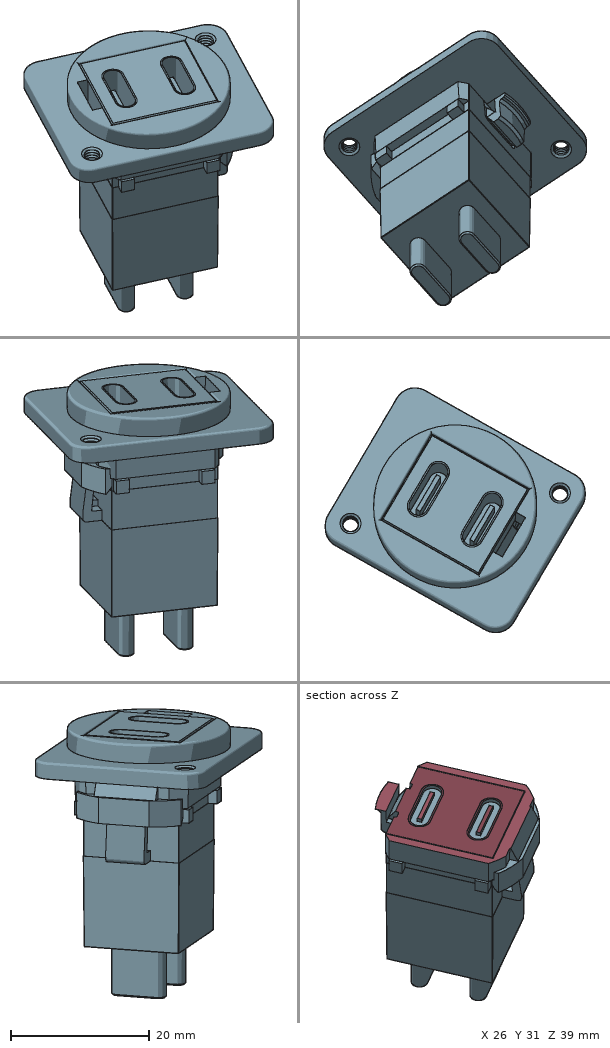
import cadquery as cq
import math


FLANGE_X = 26.0
FLANGE_Y = 31.0
FLANGE_T = 2.4
CORNER_R = 3.0
DISC_R = 11.8
TOP_Z = 5.2
EDGE_BREAK = 0.4

SCREW_X = 9.5
SCREW_Y = 12.0
THREAD_MAJOR_D = 3.0
THREAD_MINOR_D = 2.25
THREAD_TURNS = 5

HEAD_X = 14.65
HEAD_Y = 16.3
HEAD_BOTTOM_Z = -6.82
SIDE_EDGE = 0.08
HEAD_TOP_EDGE = 0.2
FIT = 0.05
OPENING_HALF_X = HEAD_X / 2 + FIT
OPENING_HALF_Y = HEAD_Y / 2 + FIT
OPENING_EDGE_R = 0.25

SKIRT_DEPTH = 4.6
SKIRT_HALF_X = 8.7
SKIRT_BACK_Y = 9.9
SKIRT_R = 11.78
SKIRT_DRAFT = 1.5
SKIRT_CORNER_X = 1.2
SKIRT_CORNER_Y = 1.0

HOOK_INNER_Y = -9.55
HOOK_BOTTOM_Z = -5.42
HOOK_ROOT_HALF_X = 3.1
HOOK_TIP_HALF_X = 2.73
HOOK_R = 10.75
HOOK_SHOULDER_Z = -0.95
HOOK_SHOULDER_EDGE = 0.25
HOOK_EDGE = 0.43
BARB_TOP_Z = -3.15
BARB_TIP_Y = -8.0
BARB_TOE_Y = -9.13
SLOT_HALF_X = 3.35
SLOT_DRAFT = 0.25

CATCH_HALF_X = 7.95
CATCH_R = 12.2
CATCH_TOP_Z = -3.1
CATCH_BOTTOM_Z = -6.95
CATCH_INNER_Y = 8.25
CATCH_OUTER_Y = 11.6
CATCH_BEVEL_Y = 0.9
CATCH_BEVEL_Z = 1.0
WEB_HALF_X = 4.68
WEB_TOP_Z = -0.6
WEB_OUTER_Y = 11.1

STEP = 0.05
TAIL_X = HEAD_X - 2 * STEP
TAIL_Y = HEAD_Y - 2 * STEP
TAIL_BOTTOM_Z = -12.8
LUG = 2.0
LUG_OUTER_X = SKIRT_HALF_X
LUG_CENTRES_Y = (6.85, -6.2)
ARM_WIDTH = 5.85
ARM_FOOT_T = 1.55
ARM_FOOT_OUTER_Y = 11.05
ARM_FOOT_INNER_Y = 9.7
ARM_TOP_OUTER_Y = 10.5
ARM_TOP_INNER_Y = 9.3
ARM_FOOT_R = 0.6
ARM_INNER_R = 0.25
GUSSET_WIDTH = 1.95
GUSSET_H = 0.95

RECESS_DEPTH = 0.4
RECESS_BOTTOM_Z = -4.1
RECESS_TOP_HALF_X = 3.8
RECESS_BOTTOM_HALF_X = 3.45
RECESS_CORNER_R = 0.6
RECESS_DRAFT = 20
WEDGE_TIP_Y = -9.48
WEDGE_TIP_Z = -2.73
WEDGE_BOTTOM_Z = -3.12
WEDGE_CHAMFER = 0.3
WEDGE_ROOT_HALF_X = 2.65
WEDGE_TIP_HALF_X = 2.3

PORT_Y = 4.5
PORT_STRAIGHT = 5.8
SOCKET_WIDTH = 2.73
SHELL_T = 0.25
SOCKET_DEPTH = 6.63
TONGUE_X = 5.93
TONGUE_T = 0.65
TONGUE_H = 3.9
PLUG_WIDTH = 2.45
PLUG_CHAMFER = 0.25

COVER_TOP_X = HEAD_X
COVER_TOP_Y = HEAD_Y
COVER_BOTTOM_X = 14.43
COVER_BOTTOM_Y = 16.15
COVER_BOTTOM_Z = -26.3
OVERALL_Z = 39
PLUG_TIP_Z = TOP_Z - OVERALL_Z


def block(x0, x1, y0, y1, z0, z1):
    """Box between two opposite corners."""
    return cq.Workplane("XY").box(x1 - x0, y1 - y0, z1 - z0, centered=False).translate((x0, y0, z0))


def side_profile(points, width):
    """Outline of (Y, Z) points extruded to a width centred on X = 0."""
    return cq.Workplane("YZ").polyline(points).close().extrude(width / 2, both=True)


def turned(points):
    """Outline of (radius, Z) points turned about the Z axis."""
    return cq.Workplane("XZ").polyline(points).close().revolve(360, (0, 0), (0, 1))


def port(y, z, width):
    """Port outline at one height, long along X and rounded at the ends."""
    return cq.Workplane("XY", origin=(0, y, z)).slot2D(PORT_STRAIGHT + width, width)


def thread_cutter():
    """Tapped hole as a stack of V-grooves, widest at the flange's top face."""
    half_pitch = FLANGE_T / THREAD_TURNS / 2
    points = [(0, FLANGE_T)]
    for i in range(2 * THREAD_TURNS + 1):
        diameter = THREAD_MINOR_D if i % 2 else THREAD_MAJOR_D
        points.append((diameter / 2, FLANGE_T - i * half_pitch))
    points.append((0, 0))
    return turned(points)


def make_flange():
    flange = (
        cq.Workplane("XY")
        .rect(FLANGE_X, FLANGE_Y)
        .extrude(FLANGE_T)
        .edges("|Z")
        .fillet(CORNER_R)
        .faces(">Z")
        .edges()
        .fillet(EDGE_BREAK)
    )
    for side in (-1, 1):
        flange = flange.cut(thread_cutter().translate((side * SCREW_X, -side * SCREW_Y, 0)))
    disc = cq.Workplane("XY").circle(DISC_R).extrude(TOP_Z).faces(">Z").edges().fillet(EDGE_BREAK)
    return flange.union(disc)


def make_skirt():
    """Drafted side and back walls, rounded at the back and cut off at the front corners."""
    front_y = -OPENING_HALF_Y
    shoulder_y = front_y + SKIRT_CORNER_Y
    corner_x = SKIRT_HALF_X - SKIRT_CORNER_X
    plan = (
        cq.Workplane("XY")
        .polyline(
            [
                (-SKIRT_HALF_X, SKIRT_BACK_Y),
                (-SKIRT_HALF_X, shoulder_y),
                (-corner_x, front_y),
                (corner_x, front_y),
                (SKIRT_HALF_X, shoulder_y),
                (SKIRT_HALF_X, SKIRT_BACK_Y),
            ]
        )
        .close()
        .extrude(-SKIRT_DEPTH)
    )
    walls = (
        cq.Workplane("XY")
        .rect(2 * SKIRT_HALF_X, 2 * SKIRT_BACK_Y)
        .extrude(-SKIRT_DEPTH, taper=SKIRT_DRAFT)
    )
    cone = cq.Workplane("XY").circle(SKIRT_R).extrude(-SKIRT_DEPTH, taper=SKIRT_DRAFT)
    return plan.intersect(walls).intersect(cone)


def make_catch():
    """Block behind the insert with a round back, and the sloped web above it."""
    catch = side_profile(
        [
            (CATCH_INNER_Y, CATCH_TOP_Z),
            (CATCH_OUTER_Y, CATCH_TOP_Z),
            (CATCH_OUTER_Y, CATCH_BOTTOM_Z),
            (CATCH_INNER_Y + CATCH_BEVEL_Y, CATCH_BOTTOM_Z),
            (CATCH_INNER_Y, CATCH_BOTTOM_Z + CATCH_BEVEL_Z),
        ],
        2 * CATCH_HALF_X,
    )
    round_back = cq.Workplane("XY", origin=(0, 0, CATCH_BOTTOM_Z)).circle(CATCH_R).extrude(-CATCH_BOTTOM_Z)
    web = side_profile(
        [
            (CATCH_INNER_Y, WEB_TOP_Z),
            (SKIRT_BACK_Y, WEB_TOP_Z),
            (WEB_OUTER_Y, CATCH_TOP_Z),
            (CATCH_INNER_Y, CATCH_TOP_Z),
        ],
        2 * WEB_HALF_X,
    )
    return catch.intersect(round_back).union(web)


def make_hook():
    """Tapered finger with a round outer face and a barb that reaches under the insert's wedge."""
    outer = turned(
        [
            (0, 0),
            (DISC_R, 0),
            (DISC_R, HOOK_SHOULDER_Z + HOOK_SHOULDER_EDGE),
            (DISC_R - HOOK_SHOULDER_EDGE, HOOK_SHOULDER_Z),
            (HOOK_R + HOOK_EDGE, HOOK_SHOULDER_Z),
            (HOOK_R, HOOK_SHOULDER_Z - HOOK_EDGE),
            (HOOK_R, HOOK_BOTTOM_Z + HOOK_EDGE),
            (HOOK_R - HOOK_EDGE, HOOK_BOTTOM_Z),
            (0, HOOK_BOTTOM_Z),
        ]
    )
    inner = side_profile(
        [
            (-DISC_R, 0),
            (HOOK_INNER_Y, 0),
            (HOOK_INNER_Y, BARB_TOP_Z),
            (BARB_TIP_Y, BARB_TOP_Z),
            (BARB_TOE_Y, HOOK_BOTTOM_Z),
            (-DISC_R, HOOK_BOTTOM_Z),
        ],
        FLANGE_X,
    )
    taper = (
        cq.Workplane("XZ")
        .polyline(
            [
                (-HOOK_ROOT_HALF_X, 0),
                (HOOK_ROOT_HALF_X, 0),
                (HOOK_TIP_HALF_X, HOOK_BOTTOM_Z),
                (-HOOK_TIP_HALF_X, HOOK_BOTTOM_Z),
            ]
        )
        .close()
        .extrude(FLANGE_Y / 2)
    )
    return outer.intersect(inner).intersect(taper)


def slot_cutter():
    """Slot above the hook, narrowing downwards to the hook's inner face."""
    draft_angle = math.degrees(math.atan(SLOT_DRAFT / TOP_Z))
    depth_y = -HOOK_INNER_Y + SLOT_DRAFT
    return (
        cq.Workplane("XY", origin=(0, -depth_y / 2, TOP_Z))
        .rect(2 * SLOT_HALF_X, depth_y)
        .extrude(-TOP_Z, taper=draft_angle)
    )


def make_frame():
    opening = block(
        -OPENING_HALF_X, OPENING_HALF_X, -OPENING_HALF_Y, OPENING_HALF_Y, -SKIRT_DEPTH, TOP_Z
    )
    body = make_flange().union(make_skirt()).cut(opening)
    body = body.faces(">Z").edges("%LINE").fillet(OPENING_EDGE_R)
    return body.cut(slot_cutter()).union(make_catch()).union(make_hook())


def recess_cutter():
    """Shallow tapered recess in the insert's -Y face, with rounded lower corners."""
    outline = (
        cq.Sketch()
        .polygon(
            [
                (-RECESS_TOP_HALF_X, 0),
                (RECESS_TOP_HALF_X, 0),
                (RECESS_BOTTOM_HALF_X, RECESS_BOTTOM_Z),
                (-RECESS_BOTTOM_HALF_X, RECESS_BOTTOM_Z),
                (-RECESS_TOP_HALF_X, 0),
            ]
        )
        .vertices("<Y")
        .fillet(RECESS_CORNER_R)
    )
    return (
        cq.Workplane("XZ", origin=(0, -HEAD_Y / 2, 0))
        .placeSketch(outline)
        .extrude(-RECESS_DEPTH, taper=RECESS_DRAFT)
    )


def make_wedge():
    root_y = -HEAD_Y / 2 + RECESS_DEPTH
    ramp = side_profile(
        [(root_y, 0), (WEDGE_TIP_Y, WEDGE_TIP_Z), (WEDGE_TIP_Y, WEDGE_BOTTOM_Z), (root_y, WEDGE_BOTTOM_Z)],
        2 * WEDGE_ROOT_HALF_X,
    )
    taper = (
        cq.Workplane("XY", origin=(0, 0, WEDGE_BOTTOM_Z))
        .polyline(
            [
                (-WEDGE_ROOT_HALF_X, root_y),
                (WEDGE_ROOT_HALF_X, root_y),
                (WEDGE_TIP_HALF_X, WEDGE_TIP_Y),
                (-WEDGE_TIP_HALF_X, WEDGE_TIP_Y),
            ]
        )
        .close()
        .extrude(-WEDGE_BOTTOM_Z)
    )
    return ramp.intersect(taper).faces("<Z").edges("not |X").chamfer(WEDGE_CHAMFER)


def make_latch_arm():
    """L-shaped release arm: a foot out of the insert's +Y face, then a leaning finger."""
    foot_top_z = TAIL_BOTTOM_Z + ARM_FOOT_T
    arm = (
        side_profile(
            [
                (TAIL_Y / 2, TAIL_BOTTOM_Z),
                (ARM_FOOT_OUTER_Y, TAIL_BOTTOM_Z),
                (ARM_FOOT_OUTER_Y, foot_top_z),
                (ARM_TOP_OUTER_Y, CATCH_BOTTOM_Z),
                (ARM_TOP_INNER_Y, CATCH_BOTTOM_Z),
                (ARM_FOOT_INNER_Y, foot_top_z),
                (TAIL_Y / 2, foot_top_z),
            ],
            ARM_WIDTH,
        )
        .edges("|X and <Z and >Y")
        .fillet(ARM_FOOT_R)
        .edges(cq.selectors.NearestToPointSelector((0, ARM_FOOT_INNER_Y, foot_top_z)))
        .fillet(ARM_INNER_R)
    )
    half = GUSSET_WIDTH / 2
    gusset = block(-half, half, TAIL_Y / 2, ARM_FOOT_INNER_Y, foot_top_z, foot_top_z + GUSSET_H)
    return arm.union(gusset)


def make_insert():
    head = (
        block(-HEAD_X / 2, HEAD_X / 2, -HEAD_Y / 2, HEAD_Y / 2, HEAD_BOTTOM_Z, TOP_Z)
        .faces(">Z")
        .edges()
        .chamfer(HEAD_TOP_EDGE)
        .edges("|Z")
        .chamfer(SIDE_EDGE)
    )
    tail = (
        block(-TAIL_X / 2, TAIL_X / 2, -TAIL_Y / 2, TAIL_Y / 2, TAIL_BOTTOM_Z, HEAD_BOTTOM_Z)
        .edges("|Z")
        .chamfer(SIDE_EDGE)
    )
    insert = head.cut(recess_cutter()).union(make_wedge()).union(tail).union(make_latch_arm())
    for y in LUG_CENTRES_Y:
        for x0, x1 in ((-LUG_OUTER_X, -TAIL_X / 2), (TAIL_X / 2, LUG_OUTER_X)):
            lug = block(x0, x1, y - LUG / 2, y + LUG / 2, HEAD_BOTTOM_Z, HEAD_BOTTOM_Z + LUG)
            insert = insert.union(lug)
    for side in (-1, 1):
        insert = insert.cut(shell_envelope(side * PORT_Y))
    return insert


def make_rear_cover():
    """Slightly drafted box closing the rear of the insert."""
    return (
        cq.Workplane("XY", origin=(0, 0, TAIL_BOTTOM_Z))
        .rect(COVER_TOP_X, COVER_TOP_Y)
        .workplane(offset=COVER_BOTTOM_Z - TAIL_BOTTOM_Z)
        .rect(COVER_BOTTOM_X, COVER_BOTTOM_Y)
        .loft()
        .faces("not >Z")
        .edges("not >Z")
        .chamfer(SIDE_EDGE)
    )


def shell_envelope(y):
    """Outer form of one receptacle, flush with the top of the insert."""
    return port(y, TOP_Z, SOCKET_WIDTH + 2 * SHELL_T).extrude(-(SOCKET_DEPTH + SHELL_T))


def make_receptacle(y):
    """Shell with a socket, and a contact tongue standing on the socket's floor."""
    floor_z = TOP_Z - SOCKET_DEPTH
    half_x = TONGUE_X / 2
    half_t = TONGUE_T / 2
    tongue = block(-half_x, half_x, y - half_t, y + half_t, floor_z, floor_z + TONGUE_H)
    socket = port(y, TOP_Z, SOCKET_WIDTH).extrude(-SOCKET_DEPTH)
    return shell_envelope(y).cut(socket).union(tongue)


def make_plug(y):
    """Flat round-ended plug standing out of the rear cover, chamfered at its tip."""
    return (
        port(y, COVER_BOTTOM_Z, PLUG_WIDTH)
        .extrude(PLUG_TIP_Z - COVER_BOTTOM_Z)
        .faces("<Z")
        .edges()
        .chamfer(PLUG_CHAMFER)
    )


frame = make_frame()
insert = make_insert()
rear_cover = make_rear_cover()
receptacles = [make_receptacle(side * PORT_Y).val() for side in (-1, 1)]
plugs = [make_plug(side * PORT_Y).val() for side in (-1, 1)]

result = cq.Compound.makeCompound(
    [frame.val(), insert.val(), rear_cover.val(), *receptacles, *plugs]
)